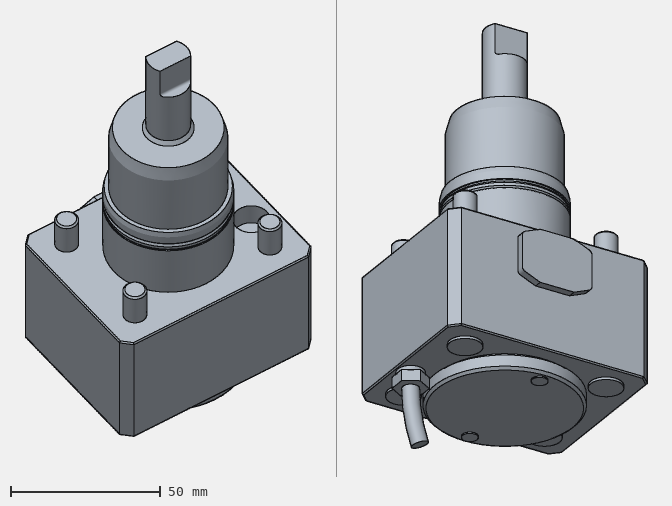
import cadquery as cq
import math


BODY_X = 62.0
BODY_Y = 78.0
BODY_HEIGHT = 45.1
CORNER_CHAMFER = 3.5
EDGE_CHAMFER = 0.5

COLLAR_RADIUS = 43.8 / 2
COLLAR_TOP = 28.3
COLLAR_LEAD_IN = 2.0
COLLAR_TOP_RADIUS = 21.5
GROOVE_RADIUS = 21.5
GROOVE_TOP = 23.4
GROOVE_BOTTOM = 20.0
SEAL_RADIUS = 44.0 / 2
SEAL_HEIGHT = 2.8
SEAL_BEVEL = 0.8
NOSE_RADIUS = 39.9 / 2
NOSE_TOP = 56.5
NOSE_TAPER = 4.9
NOSE_TOP_RADIUS = 37.3 / 2

SHAFT_RADIUS = 15.0 / 2
SHAFT_TOP = 91.0
SHAFT_FOOT_RADIUS = 17.3 / 2
SHAFT_FOOT_HEIGHT = 1.5
FLAT_WIDTH = 8.3
FLAT_LENGTH = 12.0
FLAT_FILLET = 1.0

SCREW_X = 20.0
SCREW_Y = 27.5
SHANK_DIAMETER = 8.0
SHANK_LENGTH = 12.0
SHANK_CHAMFER = 0.7
HEAD_DIAMETER = 12.0
HEAD_PROTRUSION = 1.0

PORT_X = 6.0
PORT_Y = 29.6
PORT_DIAMETER = 12.5
PORT_DEPTH = 8.2

PAD_THICKNESS = 3.0
PAD_Y = 27.1
PAD_Z = 20.3
PAD_CENTRE_Z = -12.0
PAD_FLAT_Y = 13.2
PAD_SLOPE_DROP = 3.0
PAD_CORNER_RADIUS = 1.8

COVER_NECK_DIAMETER = 49.9
COVER_NECK_HEIGHT = 1.8
COVER_DIAMETER = 54.6
COVER_HEIGHT = 5.2
COVER_CHAMFER = 1.0
COVER_SCREW_X = 22.5
COVER_SCREW_DIAMETER = 5.7
COVER_SCREW_PROTRUSION = 0.5

CABLE_X = 6.0
CABLE_Y = 33.0
GLAND_NECK_DIAMETER = 10.0
GLAND_NECK_HEIGHT = 1.8
GLAND_HEX_DIAMETER = 12.5
GLAND_HEX_HEIGHT = 4.3
CABLE_DIAMETER = 6.0
CABLE_BEND_ANGLE = 20
PART_HEIGHT = 163.5

body_bottom = -BODY_HEIGHT


def disc(diameter, height, base_z, x=0, y=0):
    """Upright cylinder starting at base_z; a negative height points down."""
    return cq.Workplane("XY", origin=(x, y, base_z)).circle(diameter / 2).extrude(height)


def make_body():
    block = cq.Workplane("XY").box(BODY_X, BODY_Y, BODY_HEIGHT, centered=(True, True, False))
    block = block.translate((0, 0, body_bottom))
    block = block.edges("|Z").chamfer(CORNER_CHAMFER)
    return block.faces("<Z or >Z").edges().chamfer(EDGE_CHAMFER)


def make_spigot():
    """Collar, seal ring, nose and shaft turned about Z."""
    seal_top = GROOVE_BOTTOM + SEAL_HEIGHT
    profile = [
        (0, 0),
        (COLLAR_RADIUS, 0),
        (COLLAR_RADIUS, GROOVE_BOTTOM),
        (GROOVE_RADIUS, GROOVE_BOTTOM),
        (SEAL_RADIUS, GROOVE_BOTTOM + SEAL_BEVEL),
        (SEAL_RADIUS, seal_top - SEAL_BEVEL),
        (GROOVE_RADIUS, seal_top),
        (GROOVE_RADIUS, GROOVE_TOP),
        (COLLAR_RADIUS, GROOVE_TOP),
        (COLLAR_RADIUS, COLLAR_TOP - COLLAR_LEAD_IN),
        (COLLAR_TOP_RADIUS, COLLAR_TOP),
        (NOSE_RADIUS, COLLAR_TOP),
        (NOSE_RADIUS, NOSE_TOP - NOSE_TAPER),
        (NOSE_TOP_RADIUS, NOSE_TOP),
        (SHAFT_FOOT_RADIUS, NOSE_TOP),
        (SHAFT_RADIUS, NOSE_TOP + SHAFT_FOOT_HEIGHT),
        (SHAFT_RADIUS, SHAFT_TOP),
        (0, SHAFT_TOP),
    ]
    return cq.Workplane("XZ").polyline(profile).close().revolve(360, (0, 0), (0, 1))


def flat_cutter(side):
    """Block that leaves one driving flat with a rounded root; side is +1 or -1."""
    inner = FLAT_WIDTH / 2
    block = cq.Workplane("XY").box(
        SHAFT_RADIUS, 3 * SHAFT_RADIUS, FLAT_LENGTH, centered=(False, True, False)
    )
    block = block.edges("<X and <Z").fillet(FLAT_FILLET)
    block = block.translate((inner, 0, SHAFT_TOP - FLAT_LENGTH))
    return block if side > 0 else block.mirror("YZ")


def make_screw(x, y):
    shank = disc(SHANK_DIAMETER, SHANK_LENGTH, 0, x, y).faces(">Z").chamfer(SHANK_CHAMFER)
    head = disc(HEAD_DIAMETER, -HEAD_PROTRUSION, body_bottom, x, y)
    return shank, head


def make_pad():
    half_y = PAD_Y / 2
    half_z = PAD_Z / 2
    half_flat = PAD_FLAT_Y / 2
    shoulder_z = half_z - PAD_SLOPE_DROP
    outline = [
        (half_flat, half_z),
        (half_y, shoulder_z),
        (half_y, -shoulder_z),
        (half_flat, -half_z),
        (-half_flat, -half_z),
        (-half_y, -shoulder_z),
        (-half_y, shoulder_z),
        (-half_flat, half_z),
    ]
    pad = (
        cq.Workplane("YZ", origin=(-BODY_X / 2, 0, PAD_CENTRE_Z))
        .polyline(outline)
        .close()
        .extrude(-PAD_THICKNESS)
    )
    return pad.edges("|X and (<Y or >Y)").fillet(PAD_CORNER_RADIUS)


def make_cover():
    neck = disc(COVER_NECK_DIAMETER, -COVER_NECK_HEIGHT, body_bottom)
    plate_top = body_bottom - COVER_NECK_HEIGHT
    plate = disc(COVER_DIAMETER, -COVER_HEIGHT, plate_top).faces("<Z").chamfer(COVER_CHAMFER)
    cover = neck.union(plate)
    for x in (-COVER_SCREW_X, COVER_SCREW_X):
        cover = cover.union(
            disc(COVER_SCREW_DIAMETER, -COVER_SCREW_PROTRUSION, plate_top - COVER_HEIGHT, x)
        )
    return cover


def make_cable():
    """Gland neck, hexagon with a corner towards -X, and a cable bending towards -Y."""
    neck = disc(GLAND_NECK_DIAMETER, -GLAND_NECK_HEIGHT, body_bottom, CABLE_X, CABLE_Y)
    hex_top = body_bottom - GLAND_NECK_HEIGHT
    hexagon = (
        cq.Workplane("XY", origin=(CABLE_X, CABLE_Y, hex_top))
        .polygon(6, GLAND_HEX_DIAMETER)
        .extrude(-GLAND_HEX_HEIGHT)
    )
    bend = math.radians(CABLE_BEND_ANGLE)
    cable_top = hex_top - GLAND_HEX_HEIGHT
    end_z = SHAFT_TOP - PART_HEIGHT + CABLE_DIAMETER / 2 * math.sin(bend)
    bend_radius = (cable_top - end_z) / math.sin(bend)
    cable = (
        cq.Workplane("XY", origin=(CABLE_X, CABLE_Y, cable_top))
        .circle(CABLE_DIAMETER / 2)
        .revolve(CABLE_BEND_ANGLE, (1.6, -bend_radius), (-1.6, -bend_radius))
    )
    return neck.union(hexagon).union(cable)


result = make_body().union(make_spigot())
for flat_side in (-1, 1):
    result = result.cut(flat_cutter(flat_side))
for screw_x in (-SCREW_X, SCREW_X):
    for screw_y in (-SCREW_Y, SCREW_Y):
        for screw_part in make_screw(screw_x, screw_y):
            result = result.union(screw_part)
result = result.cut(disc(PORT_DIAMETER, -PORT_DEPTH, 0, PORT_X, PORT_Y))
result = result.union(make_pad()).union(make_cover()).union(make_cable())